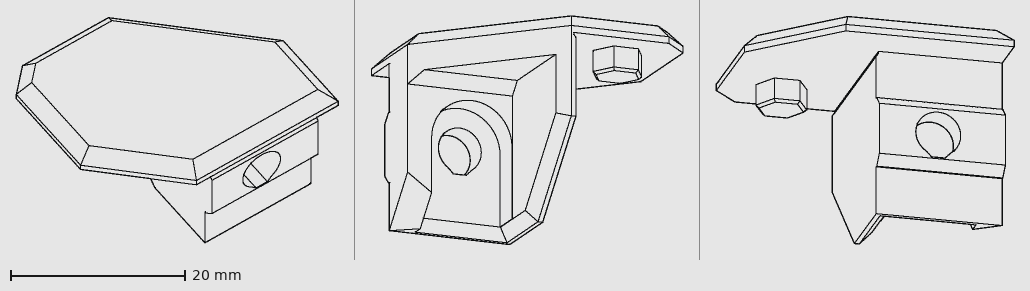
import cadquery as cq
import math

length_x = 25.3
length_y = 29.55
height = 22.5

plate_thickness = 2.48
plate_bevel = 1.68
small_corner = 3.0
front_corner = 9.55
back_corner = 14.4

box_right = 19.92
wall_front = 14.57
wall_rim = 0.6
wall_bevel = 1.35
wall_thickness = wall_rim + wall_bevel
wall_corner = 10.0
roof_thickness = 4.93
roof_chamfer = 1.48
block_left = back_corner

groove_depth = 0.27
groove_height = 0.25
groove_slope = 0.33

bolt_y = 21.57
bolt_z = height - 12.5
seat_radius = 5.0
hole_diameter = 5.32
notch_drop = 2.9
notch_flat = 1.6
notch_height = 0.75

rail_base = 8.45
rail_tip = 6.15
rail_step = 0.25
rail_depth = 1.42

peg_x = 6.0
peg_y = 6.95
peg_corners = 6.05
peg_height = 2.85
peg_chamfer = 0.33

plate_bottom = height - plate_thickness
wall_back = wall_front + wall_thickness
seat_left = box_right - wall_thickness
diagonal_y = length_y - back_corner


def prism_along_y(points, start, end):
    """Extrude an XZ outline from y = start to y = end."""
    return cq.Workplane("XZ", origin=(0, start, 0)).polyline(points).close().extrude(start - end)


def make_plate():
    outline = [
        (small_corner, 0),
        (length_x - front_corner, 0),
        (length_x, front_corner),
        (length_x, length_y),
        (back_corner, length_y),
        (0, diagonal_y),
        (0, small_corner),
    ]
    plate = cq.Workplane("XY", origin=(0, 0, plate_bottom)).polyline(outline).close()
    return plate.extrude(plate_thickness).faces(">Z").chamfer(plate_bevel)


def make_wall():
    """Front wall, with its inner edge bevelled along the sloping and bottom sides."""
    outline = [
        (0, plate_bottom),
        (0, wall_corner),
        (wall_corner, 0),
        (box_right, 0),
        (box_right, plate_bottom),
    ]
    wall = prism_along_y(outline, wall_front, wall_back)
    bevelled = wall.faces(">Y").edges("<Z or (not(|X or |Z))")
    return bevelled.chamfer(wall_bevel)


def make_roof_and_block():
    """Roof under the plate joined to the thick right-hand block by a sloping corner."""
    roof_bottom = height - roof_thickness
    outline = [
        (0, plate_bottom),
        (0, roof_bottom),
        (block_left - roof_chamfer, roof_bottom),
        (block_left, roof_bottom - roof_chamfer),
        (block_left, 0),
        (box_right, 0),
        (box_right, plate_bottom),
    ]
    return prism_along_y(outline, wall_front + wall_rim, length_y)


def make_underside_cut():
    """Slanted cut across the back bottom corner of the block."""
    normal = cq.Vector(-1, math.sqrt(0.5), -1)
    plane = cq.Plane(origin=(box_right, length_y, 0), xDir=(1, 0, -1), normal=normal)
    half_space = cq.Workplane(plane).rect(2 * length_y, 2 * length_y).extrude(length_y)
    strip_start = bolt_y + seat_radius
    strip = cq.Workplane("XY").box(box_right, length_y - strip_start, height, centered=False)
    return half_space.intersect(strip.translate((0, strip_start, 0)))


def make_seat_cut():
    """Arched recess in the block, open at the bottom, with a bevelled bottom edge."""
    depth = seat_left - block_left
    seat = cq.Workplane("YZ", origin=(block_left, 0, 0))
    seat = (
        seat.moveTo(bolt_y - seat_radius, 0)
        .lineTo(bolt_y - seat_radius, bolt_z)
        .threePointArc((bolt_y, bolt_z + seat_radius), (bolt_y + seat_radius, bolt_z))
        .lineTo(bolt_y + seat_radius, 0)
        .close()
        .extrude(depth)
    )
    bevel_outline = [
        (block_left, 0),
        (block_left, wall_bevel),
        (seat_left, wall_bevel),
        (seat_left + wall_bevel, 0),
    ]
    bevel = prism_along_y(bevel_outline, wall_front + wall_rim, bolt_y + seat_radius)
    return seat.union(bevel)


def make_bolt_hole():
    """Round hole with a small notch at the bottom that narrows at 45 degrees to a flat."""
    hole = cq.Workplane("YZ", origin=(0, bolt_y, bolt_z)).circle(hole_diameter / 2).extrude(length_x)
    half_flat = notch_flat / 2
    half_mouth = half_flat + notch_height
    notch_outline = [
        (-half_flat, -notch_drop),
        (half_flat, -notch_drop),
        (half_mouth, notch_height - notch_drop),
        (-half_mouth, notch_height - notch_drop),
    ]
    notch = cq.Workplane("YZ", origin=(0, bolt_y, bolt_z)).polyline(notch_outline).close()
    return hole.union(notch.extrude(length_x))


def make_rail():
    """Tapered locating rail running along the whole right side of the box."""
    outline = [
        (box_right, bolt_z - rail_base / 2),
        (box_right + rail_step, bolt_z - rail_base / 2),
        (box_right + rail_depth, bolt_z - rail_tip / 2),
        (box_right + rail_depth, bolt_z + rail_tip / 2),
        (box_right + rail_step, bolt_z + rail_base / 2),
        (box_right, bolt_z + rail_base / 2),
    ]
    return prism_along_y(outline, wall_front, length_y)


def make_peg():
    peg = cq.Workplane("XY", origin=(peg_x, peg_y, plate_bottom))
    peg = peg.transformed(rotate=(0, 0, 90)).polygon(6, peg_corners).extrude(-peg_height)
    return peg.faces("<Z").chamfer(peg_chamfer)


def make_groove():
    profile = [
        (wall_front, plate_bottom),
        (wall_front + groove_depth, plate_bottom),
        (wall_front + groove_depth, plate_bottom - groove_height),
        (wall_front, plate_bottom - groove_height - groove_slope),
    ]
    return cq.Workplane("YZ").polyline(profile).close().extrude(box_right)


def make_diagonal_trim():
    """Everything outside the upright diagonal side shared by the plate and the box."""
    outline = [(0, diagonal_y), (back_corner, length_y), (0, length_y)]
    return cq.Workplane("XY").polyline(outline).close().extrude(height)


block = make_roof_and_block().cut(make_seat_cut()).cut(make_underside_cut())
box = make_wall().union(block)

result = (
    make_plate()
    .union(box)
    .union(make_rail())
    .union(make_peg())
    .cut(make_diagonal_trim())
    .cut(make_groove())
    .cut(make_bolt_hole())
)